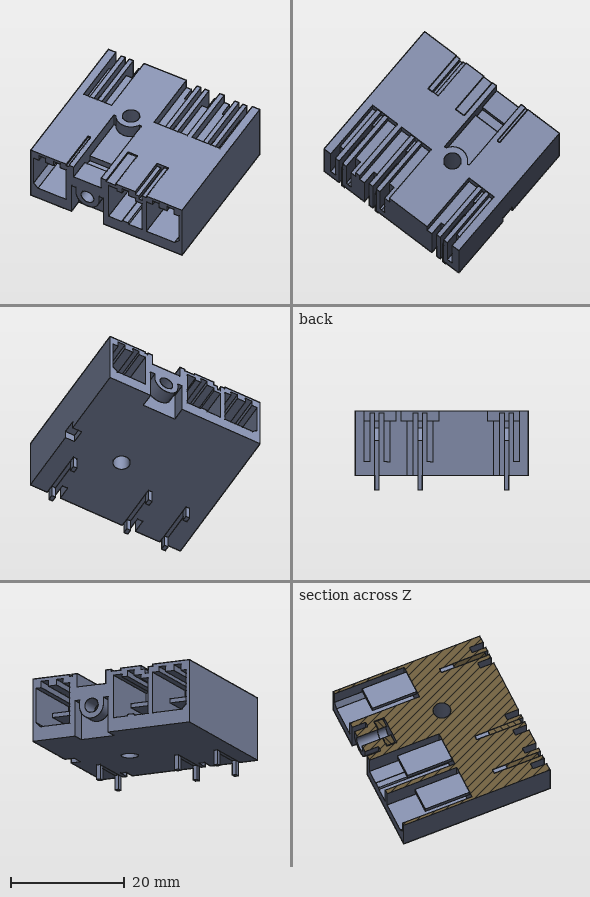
import cadquery as cq


WIDTH = 30.48
DEPTH = 28.3
HEIGHT = 11.4

PITCH = 7.62
LEFT_X = -1.5 * PITCH
SCREW_X = -0.5 * PITCH
MIDDLE_X = 0.5 * PITCH
RIGHT_X = 1.5 * PITCH
CONTACT_THICKNESS = 0.75
BLADE_WIDTH = 4.45
BLADE_Z = 5.75
BLADE_FRONT = 4.88
BLADE_TOP = BLADE_Z + CONTACT_THICKNESS / 2
PLATE_FRONT = 19.02
PLATE_BACK = 27.68
PLATE_STEP = 21.52
PLATE_CHAMFER = 2.25
PLATE_TOP = BLADE_TOP + PLATE_CHAMFER
PIN_LENGTH = 2.6
PIN_DEPTH = 1.05

CAVITY_DEPTH = 13.4
CAVITY_FLOOR = 2.5
CAVITY_HALF = 3.35
CAVITY_OUTER = 3.2
CAVITY_CHAMFER = 0.88
KEYWAY_TOP = 10.8
KEYWAY_BRIDGE = 9.75
OUTER_SHOULDER = 9.63
INNER_SHOULDER = 9.9
OUTER_KEYWAY = (-2.15, -0.8)
INNER_KEYWAY = (0.82, 2.1)
MIDDLE_KEYWAY = 0.65
MIDDLE_LEFT_SHOULDER = 10.27
MIDDLE_LEFT_STEP = -1.7
MIDDLE_RIGHT_SHOULDER = 9.02
MIDDLE_RIGHT_STEP = 2.05
FLOOR_RIB_BASE = 1.45
FLOOR_RIB_TOP = 1.07
FLOOR_RIB_HEIGHT = 0.27

WELL_FRONT = 16.52
WELL_FLOOR = HEIGHT - 1.8
WELL_OUTER = 2.3
RIB_TOP = HEIGHT - 0.37
RIB_INNER = CONTACT_THICKNESS / 2
RIB_OUTER = 1.22
NOTCH_FRONT = 25.65
NOTCH_FLOOR = CAVITY_FLOOR
GROOVE_RADIUS = 0.85
GROOVE_DEPTH = 0.15
GROOVE_X = -2.13

CODING_LENGTH = 7.92
CODING_SHALLOW = 0.37
CODING_MIDDLE = 0.73
CODING_DEEP = 1.5
LEFT_CODING = (-8.08, -7.55)
MIDDLE_CODING = (-0.03, 1.85)
STEPPED_CODING = (5.82, 6.58, 7.22, 8.08)

CHANNEL_WIDTH = 5.55
CHANNEL_FLOOR = 8.93
CHANNEL_BACK = 14.63
SCREW_HOLE_Y = 15.88
SCREW_HOLE_RADIUS = 1.52
SCREW_BOSS_RADIUS = 2.68

NUT_SIZE = 5.43
NUT_THICKNESS = 1.62
NUT_FRONT = 4.05
NUT_SLOT_FRONT = 4.02
NUT_SLOT_BACK = 5.9
BORE_Z = 5.27
BORE_RADIUS = 1.28
NUT_BOTTOM = BORE_Z - NUT_SIZE / 2
RECESS_WIDTH = 6.4
RECESS_HEIGHT = 6.5
RECESS_DEPTH = 2.6
BORE_BOSS_RADIUS = 2.32

FOOT_NOTCH_FRONT = 13.25
FOOT_NOTCH_BACK = 15.82
FOOT_NOTCH_HEIGHT = 1.68
FOOT_NOTCH_DEPTH = 1.83


def box(x_range, y_range, z_range):
    """Box between two limits along each axis."""
    (x0, x1), (y0, y1), (z0, z1) = x_range, y_range, z_range
    return cq.Workplane("XY").box(x1 - x0, y1 - y0, z1 - z0, centered=False).translate((x0, y0, z0))


def around(centre, size):
    """Limits of a length centred on a coordinate."""
    return centre - size / 2, centre + size / 2


def cylinder_along_y(x, z, radius, y_range):
    """Cylinder lying along Y between two limits."""
    front, back = y_range
    return cq.Workplane("XZ", origin=(x, front, z)).circle(radius).extrude(front - back)


def cylinder_along_z(x, y, radius, z_range):
    """Upright cylinder between two limits."""
    bottom, top = z_range
    return cq.Workplane("XY", origin=(x, y, bottom)).circle(radius).extrude(top - bottom)


def cavity(centre, outline):
    """Mating cavity with an XZ outline given from the contact centre."""
    return cq.Workplane("XZ", origin=(centre, 0, 0)).polyline(outline).close().extrude(-CAVITY_DEPTH)


def side_cavity(centre, side):
    """Cavity of an outer position; side is 1 with the outer wall on the left, -1 on the right."""
    outer_left, outer_right = OUTER_KEYWAY
    inner_left, inner_right = INNER_KEYWAY
    outline = [
        (CAVITY_HALF, CAVITY_FLOOR),
        (CAVITY_HALF, INNER_SHOULDER),
        (inner_right, INNER_SHOULDER),
        (inner_right, KEYWAY_TOP),
        (inner_left, KEYWAY_TOP),
        (inner_left, KEYWAY_BRIDGE),
        (outer_right, KEYWAY_BRIDGE),
        (outer_right, KEYWAY_TOP),
        (outer_left, KEYWAY_TOP),
        (outer_left, OUTER_SHOULDER),
        (-CAVITY_OUTER, OUTER_SHOULDER),
        (-CAVITY_OUTER, CAVITY_FLOOR + CAVITY_CHAMFER),
        (-CAVITY_OUTER + CAVITY_CHAMFER, CAVITY_FLOOR),
    ]
    return cavity(centre, [(side * x, z) for x, z in outline])


def middle_cavity():
    """Cavity of the middle position, with a low rib on its floor."""
    rib_top = CAVITY_FLOOR + FLOOR_RIB_HEIGHT
    outline = [
        (-CAVITY_HALF, CAVITY_FLOOR),
        (-CAVITY_HALF, MIDDLE_LEFT_SHOULDER),
        (MIDDLE_LEFT_STEP, MIDDLE_LEFT_SHOULDER),
        (MIDDLE_LEFT_STEP, KEYWAY_BRIDGE),
        (-MIDDLE_KEYWAY, KEYWAY_BRIDGE),
        (-MIDDLE_KEYWAY, KEYWAY_TOP),
        (MIDDLE_KEYWAY, KEYWAY_TOP),
        (MIDDLE_KEYWAY, KEYWAY_BRIDGE),
        (MIDDLE_RIGHT_STEP, KEYWAY_BRIDGE),
        (MIDDLE_RIGHT_STEP, MIDDLE_RIGHT_SHOULDER),
        (CAVITY_HALF, MIDDLE_RIGHT_SHOULDER),
        (CAVITY_HALF, CAVITY_FLOOR),
        (FLOOR_RIB_BASE / 2, CAVITY_FLOOR),
        (FLOOR_RIB_TOP / 2, rib_top),
        (-FLOOR_RIB_TOP / 2, rib_top),
        (-FLOOR_RIB_BASE / 2, CAVITY_FLOOR),
    ]
    return cavity(MIDDLE_X, outline)


def well(centre, left, right):
    """Rear well reaching left and right of the contact centre, less the two ribs left standing in it."""
    y_range = (WELL_FRONT, DEPTH)
    pocket = box((centre - left, centre + right), y_range, (WELL_FLOOR, HEIGHT))
    for inner, outer in ((-RIB_OUTER, -RIB_INNER), (RIB_INNER, RIB_OUTER)):
        pocket = pocket.cut(box((centre + inner, centre + outer), y_range, (WELL_FLOOR, RIB_TOP)))
    return pocket


def back_notch(centre, side, bottom):
    """Notch in the back edge beside a rib, from the well floor down to a given height."""
    near, far = sorted((side * RIB_OUTER, side * WELL_OUTER))
    return box((centre + near, centre + far), (NOTCH_FRONT, DEPTH), (bottom, WELL_FLOOR))


def grooved_notch(centre):
    """Back notch on the left of a contact with a shallow round groove along its floor."""
    groove_z = NOTCH_FLOOR - GROOVE_DEPTH + GROOVE_RADIUS
    groove = cylinder_along_y(centre + GROOVE_X, groove_z, GROOVE_RADIUS, (NOTCH_FRONT, DEPTH))
    limits = back_notch(centre, -1, 0)
    return back_notch(centre, -1, NOTCH_FLOOR).union(groove.intersect(limits))


def coding_slot(x_range, depth):
    """Slot in the top face, open at the front."""
    return box(x_range, (0, CODING_LENGTH), (HEIGHT - depth, HEIGHT))


def stepped_coding_slots():
    """Three coding slots side by side, each with its own depth."""
    depths = (CODING_MIDDLE, CODING_DEEP, CODING_SHALLOW)
    edges = zip(STEPPED_CODING, STEPPED_CODING[1:])
    return [coding_slot(x_range, depth) for x_range, depth in zip(edges, depths)]


def screw_channel():
    """Open channel in the top face that stops at the round boss of the screw hole."""
    channel = box(around(SCREW_X, CHANNEL_WIDTH), (0, CHANNEL_BACK), (CHANNEL_FLOOR, HEIGHT))
    return channel.cut(cylinder_along_z(SCREW_X, SCREW_HOLE_Y, SCREW_BOSS_RADIUS, (0, HEIGHT)))


def front_recess():
    """Recess in the front face, open at the bottom, around the round-ended boss of the bore."""
    y_range = (0, RECESS_DEPTH)
    boss_top = box(around(SCREW_X, 2 * BORE_BOSS_RADIUS), y_range, (BORE_Z, RECESS_HEIGHT))
    boss = cylinder_along_y(SCREW_X, BORE_Z, BORE_BOSS_RADIUS, y_range).union(boss_top)
    return box(around(SCREW_X, RECESS_WIDTH), y_range, (0, RECESS_HEIGHT)).cut(boss)


def nut_slot():
    """Slot for the square nut, open at the channel floor."""
    y_range = (NUT_SLOT_FRONT, NUT_SLOT_BACK)
    return box(around(SCREW_X, CHANNEL_WIDTH), y_range, (NUT_BOTTOM, CHANNEL_FLOOR))


def foot_notch():
    """Blind notch at the foot of the left wall."""
    x_range = (-WIDTH / 2, -WIDTH / 2 + FOOT_NOTCH_DEPTH)
    return box(x_range, (FOOT_NOTCH_FRONT, FOOT_NOTCH_BACK), (0, FOOT_NOTCH_HEIGHT))


def contact_passage(centre):
    """Opening that the contact fills: its blade passage, and a slit for its plate open at the back."""
    blade = box(around(centre, BLADE_WIDTH), (CAVITY_DEPTH, PLATE_FRONT), around(BLADE_Z, CONTACT_THICKNESS))
    slit = box(around(centre, CONTACT_THICKNESS), (PLATE_FRONT, DEPTH), (0, WELL_FLOOR))
    return blade.union(slit)


def make_housing():
    """Housing block with all its cavities, slots and holes."""
    cuts = [
        side_cavity(LEFT_X, 1),
        middle_cavity(),
        side_cavity(RIGHT_X, -1),
        well(LEFT_X, WELL_OUTER, CAVITY_HALF),
        well(MIDDLE_X, CAVITY_HALF, CAVITY_HALF),
        well(RIGHT_X, CAVITY_HALF, WELL_OUTER),
        back_notch(LEFT_X, -1, NOTCH_FLOOR),
        back_notch(LEFT_X, 1, 0),
        grooved_notch(MIDDLE_X),
        back_notch(MIDDLE_X, 1, 0),
        grooved_notch(RIGHT_X),
        back_notch(RIGHT_X, 1, NOTCH_FLOOR),
        coding_slot(LEFT_CODING, CODING_SHALLOW),
        coding_slot(MIDDLE_CODING, CODING_SHALLOW),
        *stepped_coding_slots(),
        screw_channel(),
        cylinder_along_z(SCREW_X, SCREW_HOLE_Y, SCREW_HOLE_RADIUS, (0, HEIGHT)),
        front_recess(),
        nut_slot(),
        cylinder_along_y(SCREW_X, BORE_Z, BORE_RADIUS, (0, NUT_SLOT_FRONT)),
        foot_notch(),
        *[contact_passage(centre) for centre in (LEFT_X, MIDDLE_X, RIGHT_X)],
    ]
    block = box(around(0, WIDTH), (0, DEPTH), (0, HEIGHT))
    for cut in cuts:
        block = block.cut(cut)
    return block


def make_contact(centre):
    """Flat blade joined to an upright plate that ends in two solder pins."""
    profile = [
        (PLATE_FRONT, -PIN_LENGTH),
        (PLATE_FRONT + PIN_DEPTH, -PIN_LENGTH),
        (PLATE_FRONT + PIN_DEPTH, 0),
        (PLATE_BACK - PIN_DEPTH, 0),
        (PLATE_BACK - PIN_DEPTH, -PIN_LENGTH),
        (PLATE_BACK, -PIN_LENGTH),
        (PLATE_BACK, PLATE_TOP - PLATE_CHAMFER),
        (PLATE_BACK - PLATE_CHAMFER, PLATE_TOP),
        (PLATE_STEP, PLATE_TOP),
        (PLATE_STEP, BLADE_TOP),
        (PLATE_FRONT, BLADE_TOP),
    ]
    left = centre - CONTACT_THICKNESS / 2
    plate = cq.Workplane("YZ", origin=(left, 0, 0)).polyline(profile).close().extrude(CONTACT_THICKNESS)
    y_range = (BLADE_FRONT, PLATE_FRONT)
    blade = box(around(centre, BLADE_WIDTH), y_range, around(BLADE_Z, CONTACT_THICKNESS))
    return plate.union(blade)


def make_nut():
    """Square nut standing in its slot, in line with the bore."""
    y_range = (NUT_FRONT, NUT_FRONT + NUT_THICKNESS)
    body = box(around(SCREW_X, NUT_SIZE), y_range, around(BORE_Z, NUT_SIZE))
    return body.cut(cylinder_along_y(SCREW_X, BORE_Z, BORE_RADIUS, y_range))


housing = make_housing()
nut = make_nut()
contacts = [make_contact(centre) for centre in (LEFT_X, MIDDLE_X, RIGHT_X)]

result = cq.Compound.makeCompound([housing.val(), nut.val(), *[contact.val() for contact in contacts]])